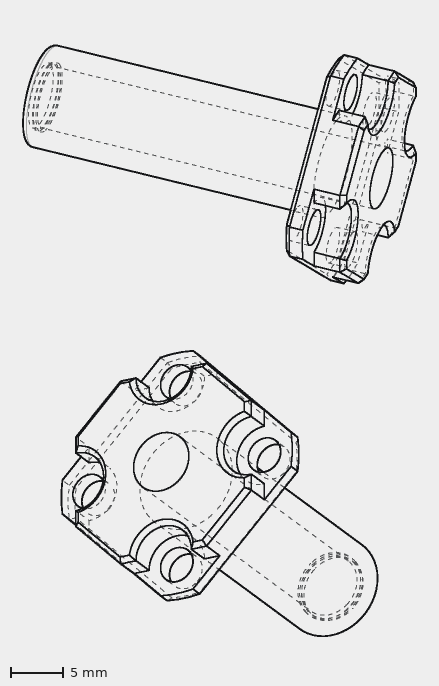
import cadquery as cq

total_length = 35.0
flange_start = 30.0
flange_thickness = 1.85
flange_end = flange_start + flange_thickness
boss_length = total_length - flange_end

barrel_diameter = 10.0
bore_diameter = 6.0
edge_break = 0.5

recess_diameter = 6.4
recess_depth = 0.5
groove_diameter = 6.8
groove_start = recess_depth
groove_width = 0.35

flange_side = 20.0
flange_diameter = 25.0
hole_diameter = 3.5
hole_offset = 9.5
hole_clearance_diameter = 6.0
hole_count = 4


def cylinder(diameter, start, length):
    """Cylinder on the part axis."""
    return cq.Workplane("YZ", origin=(start, 0, 0)).circle(diameter / 2).extrude(length)


def turned_square(start, length):
    """Square block turned 45 degrees about the part axis."""
    plane = cq.Workplane("YZ", origin=(start, 0, 0))
    return plane.transformed(rotate=(0, 0, 45)).rect(flange_side, flange_side).extrude(length)


def at_holes(start):
    """Workplane with the mounting hole centres selected."""
    plane = cq.Workplane("YZ", origin=(start, 0, 0))
    return plane.polarArray(hole_offset, 0, 360, hole_count)


def make_barrel():
    barrel = cylinder(barrel_diameter, 0, flange_end)
    return barrel.faces("<X").edges().fillet(edge_break)


def make_flange():
    flange = turned_square(flange_start, flange_thickness)
    flange = flange.intersect(cylinder(flange_diameter, flange_start, flange_thickness))
    flange = flange.faces("<X").edges().chamfer(edge_break)
    return flange.cut(at_holes(flange_start).circle(hole_diameter / 2).extrude(flange_thickness))


def make_boss():
    """Boss flush with the flange sides, trimmed and scalloped around the holes."""
    boss = turned_square(flange_end, boss_length)
    trim_width = 2 * hole_offset
    trim = cq.Workplane("YZ", origin=(flange_end, 0, 0)).rect(trim_width, trim_width).extrude(boss_length)
    boss = boss.intersect(trim)
    boss = boss.cut(at_holes(flange_end).circle(hole_clearance_diameter / 2).extrude(boss_length))
    return boss.faces(">X").edges().chamfer(edge_break)


body = make_barrel().union(make_flange()).union(make_boss())
body = body.cut(cylinder(bore_diameter, 0, total_length))
body = body.cut(cylinder(recess_diameter, 0, recess_depth))
result = body.cut(cylinder(groove_diameter, groove_start, groove_width))